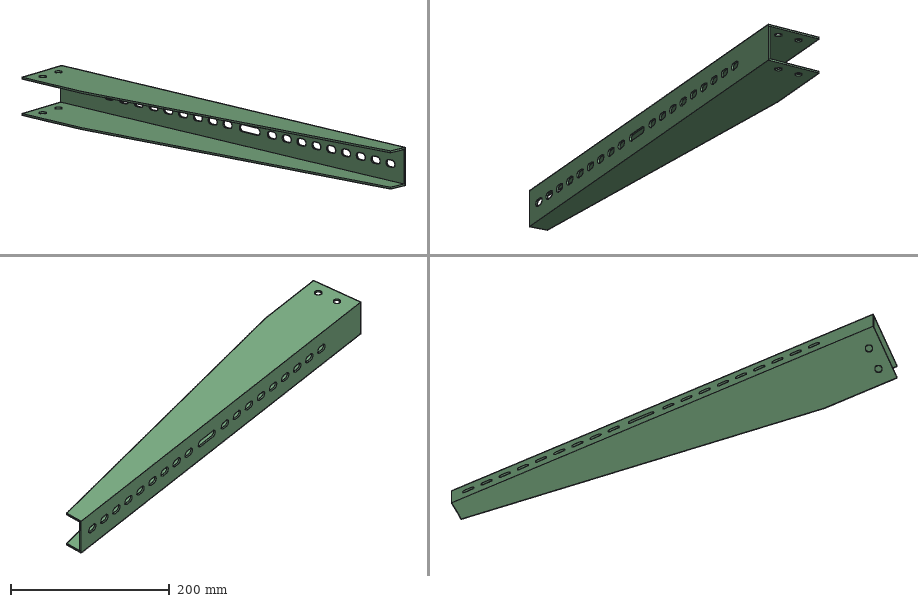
import cadquery as cq
import math

length = 580.0
depth = 75.0
height = 50.0
sheet = 2.5

taper_start = 100.0
tip_depth = 25.0
taper_angle = math.radians(6)

hole_diameter = 9.0
hole_from_end = 17.0
hole_depths = (25.0, 54.5)

slot_width = 9.0
short_slot_length = 15.0
long_slot_length = 35.0
first_slot_x = 82.0
last_slot_x = 557.0
slots_per_group = 9
group_gap_pitches = 3


def tapered_channel():
    """U-section with tapered flanges and a tip edge square to the taper."""
    tip_setback = tip_depth * math.tan(taper_angle)
    outline = [
        (0, 0),
        (length, 0),
        (length - tip_setback, -tip_depth),
        (taper_start, -depth),
        (0, -depth),
    ]
    blank = cq.Workplane("XY").polyline(outline).close().extrude(height)
    inside = (
        cq.Workplane("XY")
        .box(length, depth, height - 2 * sheet, centered=False)
        .translate((0, -depth - sheet, sheet))
    )
    return blank.cut(inside)


def root_holes():
    centres = [(hole_from_end, -hole_depth) for hole_depth in hole_depths]
    return cq.Workplane("XY").pushPoints(centres).circle(hole_diameter / 2).extrude(height)


def web_slots(positions, slot_length):
    """Cutters for slots along X, centred on the height of the web."""
    centres = [(x, height / 2) for x in positions]
    return cq.Workplane("XZ").pushPoints(centres).slot2D(slot_length, slot_width).extrude(depth)


pitch_count = 2 * (slots_per_group - 1) + group_gap_pitches
slot_pitch = (last_slot_x - first_slot_x) / pitch_count
short_slot_positions = []
for index in range(slots_per_group):
    short_slot_positions.append(first_slot_x + index * slot_pitch)
    short_slot_positions.append(last_slot_x - index * slot_pitch)
long_slot_x = (first_slot_x + last_slot_x) / 2

result = (
    tapered_channel()
    .cut(root_holes())
    .cut(web_slots(short_slot_positions, short_slot_length))
    .cut(web_slots([long_slot_x], long_slot_length))
)